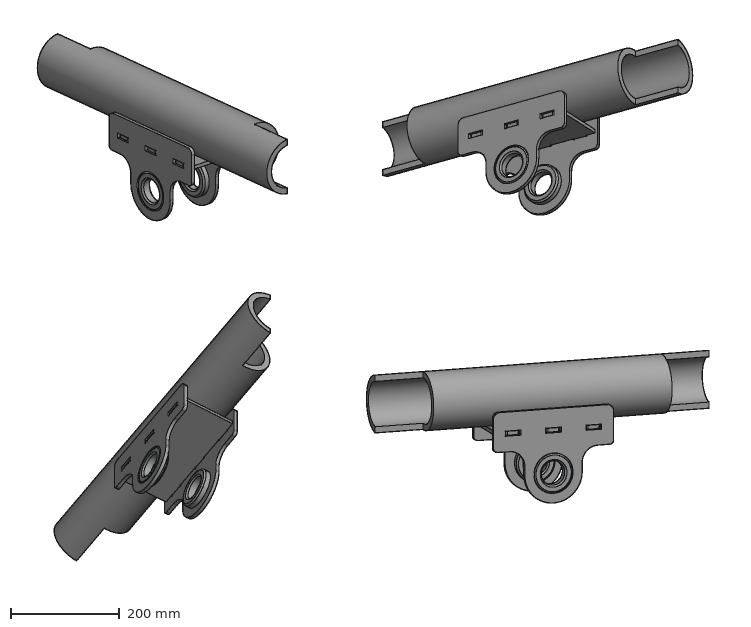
import cadquery as cq

TUBE_LENGTH = 649.5
TUBE_RADIUS = 54.5
TUBE_BORE_RADIUS = 43.0
FULL_TUBE_LENGTH = 463.5
CUT_PLANE_Y = -5.0

OUTER_WIDTH = 117.0
PLATE_THICKNESS = 7.0
PLATE_HALF_LENGTH = 117.0
PLATE_TOP_Z = -19.0
PLATE_SHOULDER_Z = -93.5
UPPER_CORNER_RADIUS = 12.0
LOWER_CORNER_RADIUS = 8.0
LUG_RADIUS = 56.0
LUG_CENTER_Z = -140.0
LUG_FILLET = 30.0
PLATE_INNER_Y = OUTER_WIDTH / 2 - PLATE_THICKNESS
PLATE_MIDDLE_Y = OUTER_WIDTH / 2 - PLATE_THICKNESS / 2

CROSS_THICKNESS = 7.0
CROSS_CENTER_Z = -59.0
CROSS_LENGTH = 223.5
TAB_PITCH = 78.5
TAB_LENGTH = 27.0
TAB_RECESS = 2.5
TAB_CHAMFER = 3.0
SLOT_LENGTH = 30.0
SLOT_HEIGHT = 10.0
TAB_CENTERS = [(-TAB_PITCH, 0), (0, 0), (TAB_PITCH, 0)]

BUSHING_RADIUS = 37.5
BUSHING_BORE_RADIUS = 23.0
BUSHING_WIDTH = 20.0
BUSHING_CHAMFER = 3.0


def make_tube():
    """Tube whose two ends are cut back to a trough on the -Y side."""
    tube = (
        cq.Workplane("YZ")
        .circle(TUBE_RADIUS)
        .circle(TUBE_BORE_RADIUS)
        .extrude(TUBE_LENGTH / 2, both=True)
    )
    end_length = (TUBE_LENGTH - FULL_TUBE_LENGTH) / 2
    for side in (-1, 1):
        end_cut = (
            cq.Workplane("XY")
            .box(end_length, 2 * TUBE_RADIUS, 2 * TUBE_RADIUS, centered=(True, False, True))
            .translate((side * (FULL_TUBE_LENGTH + end_length) / 2, CUT_PLANE_Y, 0))
        )
        tube = tube.cut(end_cut)
    return tube


def make_side_plate():
    """Side plate on the -Y side: a rounded T with three tab slots and a bushing hole."""
    outer_face = cq.Workplane("XZ", origin=(0, -OUTER_WIDTH / 2, 0))
    plate = (
        outer_face
        .moveTo(-PLATE_HALF_LENGTH, PLATE_TOP_Z)
        .lineTo(PLATE_HALF_LENGTH, PLATE_TOP_Z)
        .lineTo(PLATE_HALF_LENGTH, PLATE_SHOULDER_Z)
        .lineTo(LUG_RADIUS, PLATE_SHOULDER_Z)
        .lineTo(LUG_RADIUS, LUG_CENTER_Z)
        .threePointArc((0, LUG_CENTER_Z - LUG_RADIUS), (-LUG_RADIUS, LUG_CENTER_Z))
        .lineTo(-LUG_RADIUS, PLATE_SHOULDER_Z)
        .lineTo(-PLATE_HALF_LENGTH, PLATE_SHOULDER_Z)
        .close()
        .extrude(-PLATE_THICKNESS)
    )
    for x, z, radius in (
        (PLATE_HALF_LENGTH, PLATE_TOP_Z, UPPER_CORNER_RADIUS),
        (PLATE_HALF_LENGTH, PLATE_SHOULDER_Z, LOWER_CORNER_RADIUS),
        (LUG_RADIUS, PLATE_SHOULDER_Z, LUG_FILLET),
    ):
        for side in (-1, 1):
            corner = cq.selectors.NearestToPointSelector((side * x, -PLATE_MIDDLE_Y, z))
            plate = plate.edges("|Y").edges(corner).fillet(radius)
    slots = (
        outer_face.center(0, CROSS_CENTER_Z)
        .pushPoints(TAB_CENTERS)
        .rect(SLOT_LENGTH, SLOT_HEIGHT)
        .extrude(-PLATE_THICKNESS)
    )
    bushing_hole = (
        outer_face.center(0, LUG_CENTER_Z)
        .circle(BUSHING_RADIUS)
        .extrude(-PLATE_THICKNESS)
    )
    return plate.cut(slots).cut(bushing_hole)


def make_cross_plate():
    """Flat plate between the side plates, with three tabs on each long edge."""
    level = cq.Workplane("XY", origin=(0, 0, CROSS_CENTER_Z))
    web = level.box(CROSS_LENGTH, 2 * PLATE_INNER_Y, CROSS_THICKNESS)
    tabs = (
        level.pushPoints(TAB_CENTERS)
        .box(TAB_LENGTH, OUTER_WIDTH - 2 * TAB_RECESS, CROSS_THICKNESS)
        .edges("|Z")
        .chamfer(TAB_CHAMFER)
    )
    return web.union(tabs)


def make_bushing():
    """Chamfered ring in the lug of the -Y side plate, projecting inward."""
    return (
        cq.Workplane("XZ", origin=(0, -OUTER_WIDTH / 2, LUG_CENTER_Z))
        .circle(BUSHING_RADIUS)
        .circle(BUSHING_BORE_RADIUS)
        .extrude(-BUSHING_WIDTH)
        .edges()
        .chamfer(BUSHING_CHAMFER)
    )


tube = make_tube()
cross_plate = make_cross_plate()
bodies = [tube.val(), cross_plate.val()]
for make_body in (make_side_plate, make_bushing):
    body = make_body()
    bodies.append(body.val())
    bodies.append(body.mirror("XZ").val())

result = cq.Compound.makeCompound(bodies)